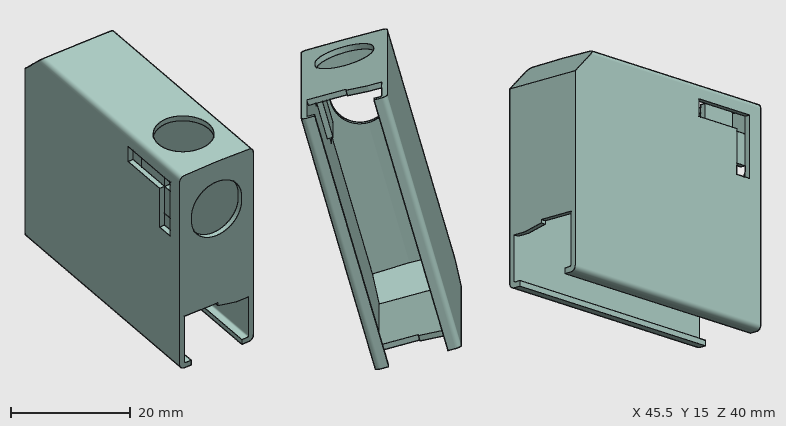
import cadquery as cq

length = 45.5
width = 15.0
height = 40.0
wall = 1.0

crown_rise = 0.2
corner_radius = 1.0
end_chamfer = 4.9

lip_reach = 2.35
inner_lip_radius = 0.3

edge_high_z = 10.65
edge_step_z = 10.05
edge_low_z = 9.3
ramp_end_y = 4.1
step_y = 0.27

opening_radius = 5.1
roof_opening_x = length - 9.7
end_opening_top_arc_z = 30.7
end_opening_straight = 0.9

slot_right = length - 2.78
slot_top = height - 2.85
slot_width = 3.1
slot_length = 12.38
slot_drop = 11.1

plate_thickness = 1.0
plate_length = 9.85
plate_drop = 8.7

half_width = width / 2
inner_half_width = half_width - wall
inner_length = length - 2 * wall


def roofed_profile(x, half, bottom, drop):
    """YZ profile at x whose crowned roof lies the given drop below the outer roof."""
    ridge = height - drop
    shoulder = ridge - crown_rise
    return cq.Workplane("YZ", origin=(x, 0, 0)).polyline(
        [(-half, bottom), (half, bottom), (half, shoulder), (0, ridge), (-half, shoulder)]
    ).close()


def end_corner(start_x, top, size):
    """Wedge removed by a 45 degree chamfer across the -X end of the roof."""
    return (
        cq.Workplane("XZ")
        .polyline([(start_x, top - size), (start_x, top), (start_x + size, top)])
        .close()
        .extrude(half_width, both=True)
    )


def make_outer():
    block = roofed_profile(0, half_width, 0, 0).extrude(length)
    block = block.edges("|X and (>Y or <Y)").fillet(corner_radius)
    return block.cut(end_corner(0, height, end_chamfer))


def make_cavity():
    """Interior between the end walls, sloped parallel to the outer chamfer."""
    cavity = roofed_profile(wall, inner_half_width, wall, wall).extrude(inner_length)
    cavity = cavity.edges("|X and <Z").fillet(inner_lip_radius)
    inner_chamfer = end_chamfer - wall * (2 - 2 ** 0.5)
    return cavity.cut(end_corner(wall, height - wall, inner_chamfer))


def make_end_gap():
    """Stepped gap through both end walls, above the lips."""
    gap = (
        cq.Workplane("YZ")
        .moveTo(-inner_half_width, wall)
        .lineTo(inner_half_width, wall)
        .lineTo(inner_half_width, edge_low_z)
        .lineTo(ramp_end_y, edge_low_z)
        .lineTo(step_y, edge_step_z)
        .lineTo(step_y, edge_high_z)
        .lineTo(-inner_half_width, edge_high_z)
        .close()
        .extrude(length)
    )
    return gap.edges("|X and <Z").fillet(inner_lip_radius)


def make_bottom_opening():
    return cq.Workplane("XY").box(
        length, width - 2 * lip_reach, wall, centered=(False, True, False)
    )


def wall_block(span_x, span_z, y, depth):
    """Block reaching left and down from the outer corner of the slot."""
    return cq.Workplane("XY", origin=(slot_right - span_x, y, slot_top - span_z)).box(
        span_x, depth, span_z, centered=False
    )


def make_slot():
    across = wall_block(slot_length, slot_width, -half_width, wall)
    down = wall_block(slot_width, slot_drop, -half_width, wall)
    return across.union(down)


def make_backing_plate():
    """Plate on the inside of the -Y wall, notched at the corner of the slot."""
    plate = wall_block(plate_length, plate_drop, -inner_half_width, plate_thickness)
    notch = wall_block(slot_width, slot_width, -inner_half_width, plate_thickness)
    return plate.cut(notch)


roof_opening = (
    cq.Workplane("XY", origin=(roof_opening_x, 0, height / 2))
    .circle(opening_radius)
    .extrude(height)
)
end_opening = (
    cq.Workplane("YZ", origin=(length - wall, 0, end_opening_top_arc_z - end_opening_straight / 2))
    .slot2D(end_opening_straight + 2 * opening_radius, 2 * opening_radius, 90)
    .extrude(wall)
)

result = (
    make_outer()
    .cut(make_cavity())
    .cut(make_end_gap())
    .cut(make_bottom_opening())
    .cut(roof_opening)
    .cut(end_opening)
    .cut(make_slot())
    .union(make_backing_plate())
)